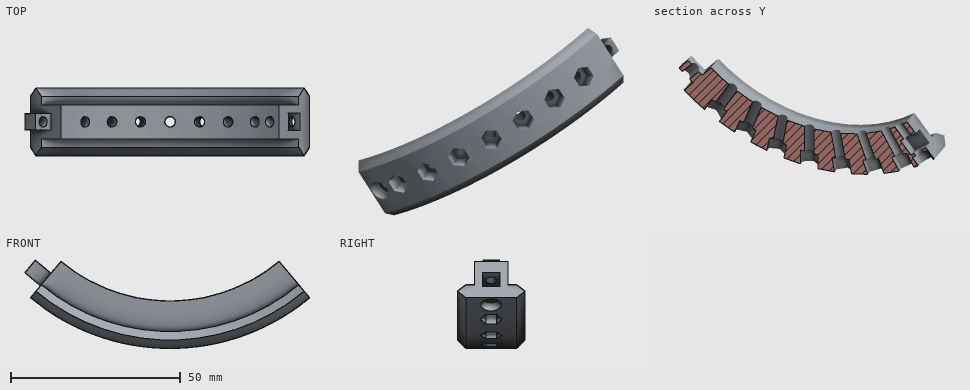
import cadquery as cq
import math

half_angle = 40.0
inner_radius = 50.0
web_height = 9.0
web_width = 10.0
flange_width = 20.0
flange_thickness = 5.0
flange_chamfer = flange_thickness / 2
flange_radius = inner_radius + web_height
outer_radius = flange_radius + flange_thickness

joint_radius = 57.0
tenon_size = 4.8
tenon_length = 6.0
joint_clearance = 0.4
socket_size = tenon_size + joint_clearance
socket_depth = tenon_length + joint_clearance

screw_diameter = 3.0
screw_pitch = 10.0
screw_angles = [screw_pitch * step for step in range(-3, 4)]
nut_across_flats = 5.5
nut_across_corners = nut_across_flats / math.cos(math.radians(30))
nut_depth = flange_thickness

tenon_hole_offset = tenon_length / 2
socket_hole_offset = 3.5
head_diameter = 6.0
head_depth = 3.5

overrun = 5.0


def swing(shape, angle):
    """Turn a shape about the Y axis; positive angles move the bottom toward +X."""
    return shape.rotate((0, 0, 0), (0, 1, 0), -angle)


def rail():
    """Curved T rail with chamfered flange edges."""
    half_web = web_width / 2
    half_flange = flange_width / 2
    half_face = half_flange - flange_chamfer
    middle_radius = flange_radius + flange_chamfer
    right_side = [
        (half_web, -inner_radius),
        (half_web, -flange_radius),
        (half_face, -flange_radius),
        (half_flange, -middle_radius),
        (half_face, -outer_radius),
    ]
    left_side = [(-y, z) for y, z in reversed(right_side)]
    section = cq.Workplane("YZ").polyline(right_side + left_side).close()
    body = section.revolve(2 * half_angle, (0, 0, 0), (1, 0, 0))
    return swing(body, half_angle)


def joint_block(size, length):
    """Square bar at the bottom of the rail, running from X = 0 toward -X."""
    bar = cq.Workplane("XY").box(length, size, size)
    return bar.translate((-length / 2, 0, -joint_radius))


def screw_hole():
    """Radial cutter at the bottom of the rail, passing through web and flange."""
    length = outer_radius - inner_radius + 2 * overrun
    top = -inner_radius + overrun
    return cq.Workplane("XY", origin=(0, 0, top)).circle(screw_diameter / 2).extrude(-length)


def nut_pocket():
    """Hexagon with two corners along Y, sunk into the outer face."""
    pocket = cq.Workplane("XY", origin=(0, 0, -outer_radius - overrun))
    pocket = pocket.transformed(rotate=(0, 0, 90)).polygon(6, nut_across_corners)
    return pocket.extrude(overrun + nut_depth)


def head_pocket():
    """Round recess for a screw head, sunk into the outer face."""
    pocket = cq.Workplane("XY", origin=(0, 0, -outer_radius - overrun)).circle(head_diameter / 2)
    return pocket.extrude(overrun + head_depth)


def tenon():
    hole = screw_hole().translate((-tenon_hole_offset, 0, 0))
    return swing(joint_block(tenon_size, tenon_length).cut(hole), -half_angle)


def socket():
    """Cutter for the socket together with its screw hole and head recess."""
    screw_cutter = screw_hole().union(head_pocket()).translate((-socket_hole_offset, 0, 0))
    return swing(joint_block(socket_size, socket_depth).union(screw_cutter), half_angle)


result = rail().cut(socket()).union(tenon())
nut_hole = screw_hole().union(nut_pocket())
for angle in screw_angles:
    result = result.cut(swing(nut_hole, angle))